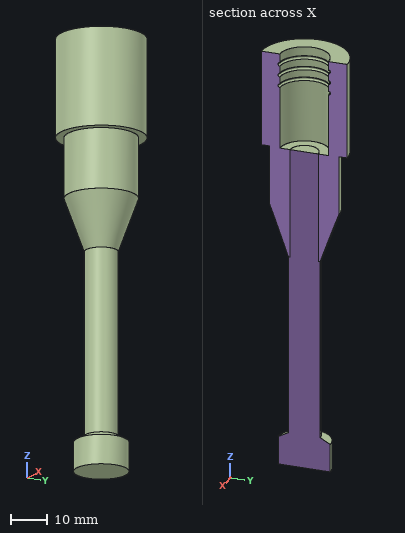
import cadquery as cq

TOTAL_HEIGHT = 124.5

SLEEVE_DIAMETER = 25.4
SLEEVE_LENGTH = 28.5
NECK_DIAMETER = 20.7
NECK_LENGTH = 17.4
TAPER_LENGTH = 15.3
BORE_DIAMETER = 14.3
BORE_DEPTH = SLEEVE_LENGTH

GROOVE_HEIGHT = 1.0
GROOVE_COUNT = 3
GROOVE_PITCH = 3.2
FIRST_GROOVE_DEPTH = 2.7

SHANK_DIAMETER = 9.5
TAIL_DIAMETER = 8.2
FOOT_DIAMETER = 15.5
FOOT_HEIGHT = 10.1
FOOT_CONE_HEIGHT = 1.6

SLEEVE_BOTTOM = TOTAL_HEIGHT - SLEEVE_LENGTH
NECK_BOTTOM = SLEEVE_BOTTOM - NECK_LENGTH
TAPER_BOTTOM = NECK_BOTTOM - TAPER_LENGTH
BORE_FLOOR = TOTAL_HEIGHT - BORE_DEPTH


def cylinder(diameter, bottom, top):
    """Solid cylinder on the Z axis between two heights."""
    return cq.Workplane("XY", origin=(0, 0, bottom)).circle(diameter / 2).extrude(top - bottom)


def ring_groove(height):
    """Ring of round section, centred on the bore wall, that cuts one groove."""
    return (
        cq.Workplane("XZ")
        .center(BORE_DIAMETER / 2, height)
        .circle(GROOVE_HEIGHT / 2)
        .revolve(360, (-BORE_DIAMETER / 2, 0, 0), (-BORE_DIAMETER / 2, 1, 0))
    )


def make_holder():
    """Stepped and tapered holder with a grooved bore and a seat for the rod tail."""
    holder = (
        cq.Workplane("XZ")
        .moveTo(0, TAPER_BOTTOM)
        .lineTo(SHANK_DIAMETER / 2, TAPER_BOTTOM)
        .lineTo(NECK_DIAMETER / 2, NECK_BOTTOM)
        .lineTo(NECK_DIAMETER / 2, SLEEVE_BOTTOM)
        .lineTo(SLEEVE_DIAMETER / 2, SLEEVE_BOTTOM)
        .lineTo(SLEEVE_DIAMETER / 2, TOTAL_HEIGHT)
        .lineTo(0, TOTAL_HEIGHT)
        .close()
        .revolve(360, (0, 0, 0), (0, 1, 0))
    )
    holder = holder.cut(cylinder(BORE_DIAMETER, BORE_FLOOR, TOTAL_HEIGHT))
    for index in range(GROOVE_COUNT):
        groove_top = TOTAL_HEIGHT - FIRST_GROOVE_DEPTH - index * GROOVE_PITCH
        holder = holder.cut(ring_groove(groove_top - GROOVE_HEIGHT / 2))
    return holder.cut(cylinder(TAIL_DIAMETER, TAPER_BOTTOM, BORE_FLOOR))


def make_rod():
    """Straight shank with a foot below, coned up to the shank, and a tail flush with the bore floor."""
    foot = (
        cq.Workplane("XZ")
        .lineTo(FOOT_DIAMETER / 2, 0)
        .lineTo(FOOT_DIAMETER / 2, FOOT_HEIGHT - FOOT_CONE_HEIGHT)
        .lineTo(SHANK_DIAMETER / 2, FOOT_HEIGHT)
        .lineTo(0, FOOT_HEIGHT)
        .close()
        .revolve(360, (0, 0, 0), (0, 1, 0))
    )
    shank = cylinder(SHANK_DIAMETER, FOOT_HEIGHT, TAPER_BOTTOM)
    tail = cylinder(TAIL_DIAMETER, TAPER_BOTTOM, BORE_FLOOR)
    return foot.union(shank).union(tail)


holder = make_holder()
rod = make_rod()

result = cq.Compound.makeCompound([holder.val(), rod.val()])